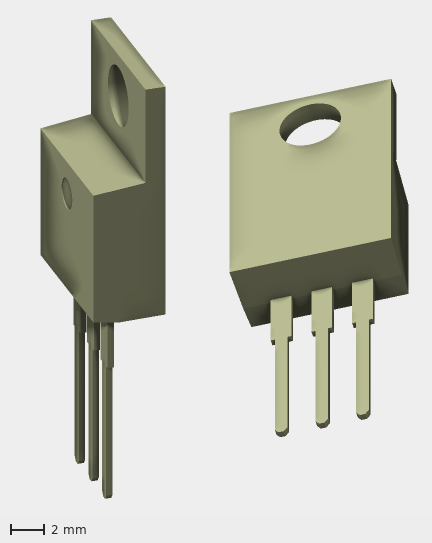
import cadquery as cq

HEIGHT = 28.35
WIDTH = 10.15
DEPTH = 4.57

TAB_HEIGHT = 6.3
TAB_THICKNESS = 1.28
TAB_HOLE_DIAMETER = 3.85
TAB_HOLE_DROP = 2.75
TAB_BOTTOM = HEIGHT - TAB_HEIGHT

LEAD_COUNT = 3
LEAD_PITCH = 2.55
LEAD_THICKNESS = 0.4
LEAD_SETBACK = 2.86
LEAD_WIDE_WIDTH = 1.3
LEAD_NARROW_WIDTH = 0.8
LEAD_SHOULDER_HEIGHT = 9.02
LEAD_TIP_WIDTH = 0.35
LEAD_TIP_HEIGHT = 0.3
LEAD_INSERTION = 1.0

HOUSING_FRONT_WIDTH = 9.87
TOP_SLOPE_DROP = 0.4
RIDGE_HEIGHT = 12.9
BACK_RISE = 0.1
FRONT_RISE = 0.23
MARK_DIAMETER = 1.99
MARK_DEPTH = 0.09
MARK_DROP = 2.52


def make_tab():
    """Flat plate standing on the housing, with a mounting hole through it."""
    plate = cq.Workplane("XY").box(WIDTH, TAB_THICKNESS, TAB_HEIGHT, centered=(True, True, False))
    plate = plate.translate((0, -TAB_THICKNESS / 2, TAB_BOTTOM))
    hole = (
        cq.Workplane("XZ")
        .center(0, HEIGHT - TAB_HOLE_DROP)
        .circle(TAB_HOLE_DIAMETER / 2)
        .extrude(TAB_THICKNESS)
    )
    return plate.cut(hole)


def make_lead(x):
    """Stepped flat lead with a tapered tip, its upper end inside the housing."""
    half_wide = LEAD_WIDE_WIDTH / 2
    half_narrow = LEAD_NARROW_WIDTH / 2
    half_tip = LEAD_TIP_WIDTH / 2
    right_side = [
        (half_tip, 0),
        (half_narrow, LEAD_TIP_HEIGHT),
        (half_narrow, LEAD_SHOULDER_HEIGHT),
        (half_wide, LEAD_SHOULDER_HEIGHT),
        (half_wide, RIDGE_HEIGHT + LEAD_INSERTION),
    ]
    left_side = [(-px, pz) for px, pz in reversed(right_side)]
    lead = cq.Workplane("XZ").polyline(right_side + left_side).close().extrude(LEAD_THICKNESS / 2, both=True)
    return lead.translate((x, -LEAD_SETBACK, 0))


def make_housing_block():
    """Side profile with a sloping top and ridged underside, narrowed towards the front."""
    side_profile = [
        (0, TAB_BOTTOM),
        (-TAB_THICKNESS, TAB_BOTTOM),
        (-DEPTH, TAB_BOTTOM - TOP_SLOPE_DROP),
        (-DEPTH, RIDGE_HEIGHT + FRONT_RISE),
        (-LEAD_SETBACK, RIDGE_HEIGHT),
        (0, RIDGE_HEIGHT + BACK_RISE),
    ]
    plan_profile = [
        (-WIDTH / 2, 0),
        (WIDTH / 2, 0),
        (HOUSING_FRONT_WIDTH / 2, -DEPTH),
        (-HOUSING_FRONT_WIDTH / 2, -DEPTH),
    ]
    block = cq.Workplane("YZ").polyline(side_profile).close().extrude(WIDTH / 2, both=True)
    taper = cq.Workplane("XY").polyline(plan_profile).close().extrude(HEIGHT)
    return block.intersect(taper)


def make_housing(leads):
    """Housing with a shallow round mark on its front and a matching pocket for each lead."""
    mark = (
        cq.Workplane("XZ", origin=(0, MARK_DEPTH - DEPTH, 0))
        .center(0, TAB_BOTTOM - MARK_DROP)
        .circle(MARK_DIAMETER / 2)
        .extrude(MARK_DEPTH)
    )
    housing = make_housing_block().cut(mark)
    for lead in leads:
        housing = housing.cut(lead)
    return housing


tab = make_tab()
leads = [make_lead((i - (LEAD_COUNT - 1) / 2) * LEAD_PITCH) for i in range(LEAD_COUNT)]
housing = make_housing(leads)

result = cq.Compound.makeCompound([tab.val(), housing.val(), *[lead.val() for lead in leads]])